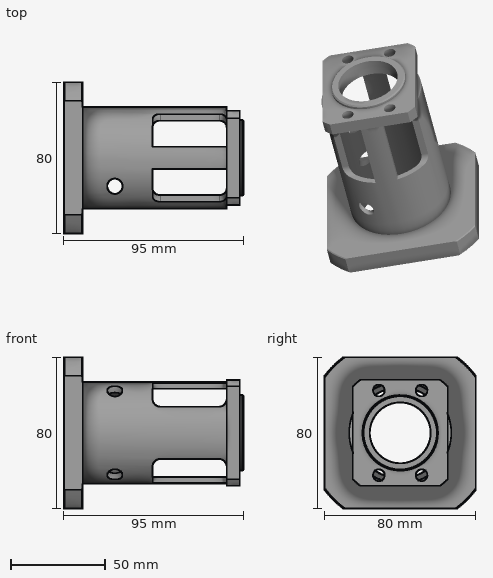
import cadquery as cq

total_length = 95.0
flange_thickness = 10.0
tube_end = 86.0
plate_end = 93.0

flange_side = 80.0
flange_corner_diameter = 100.0
flange_edge_chamfer = 0.5
plate_width = 50.0
plate_height = 56.05
plate_corner_diameter = 70.0

tube_diameter = 54.0
tube_bore_diameter = 48.0
spigot_diameter = 40.0
spigot_chamfer = 0.7
end_bore_diameter = 32.0

window_start = 46.9
window_floor = 13.9
window_corner_radius = 4.0
strip_width = 12.0

cross_hole_diameter = 8.0
cross_hole_x = 27.0
cross_hole_y = -15.0
plate_hole_diameter = 6.2
plate_hole_y = 11.3
plate_hole_z = 22.4


def disc(diameter, start, end):
    """Cylinder about the main axis between two X stations."""
    return cq.Workplane("YZ").workplane(offset=start).circle(diameter / 2).extrude(end - start)


def rectangle_block(width, height, start, end):
    """Rectangular block centred on the main axis between two X stations."""
    return cq.Workplane("YZ").workplane(offset=start).rect(width, height).extrude(end - start)


def window_cutter(y_side, z_side):
    """Window block beside the strip, with rounded corners along its floor."""
    length = tube_end - window_start
    depth = tube_diameter / 2
    cutter = (
        cq.Workplane("XY")
        .box(length, depth, depth, centered=False)
        .edges("|Y and <Z")
        .fillet(window_corner_radius)
        .translate((window_start, strip_width / 2, window_floor))
    )
    if y_side < 0:
        cutter = cutter.mirror("XZ")
    if z_side < 0:
        cutter = cutter.mirror("XY")
    return cutter


tube = disc(tube_diameter, 0, tube_end).cut(disc(tube_bore_diameter, 0, tube_end))
for y_side in (-1, 1):
    for z_side in (-1, 1):
        tube = tube.cut(window_cutter(y_side, z_side))

flange_round = disc(flange_corner_diameter, 0, flange_thickness).edges().chamfer(flange_edge_chamfer)
flange = rectangle_block(flange_side, flange_side, 0, flange_thickness).intersect(flange_round)
flange = flange.cut(disc(tube_bore_diameter, 0, flange_thickness))

plate_round = disc(plate_corner_diameter, tube_end, plate_end)
plate = rectangle_block(plate_width, plate_height, tube_end, plate_end).intersect(plate_round)
spigot = disc(spigot_diameter, plate_end, total_length).faces(">X").chamfer(spigot_chamfer)
plate = plate.union(spigot).cut(disc(end_bore_diameter, tube_end, total_length))
plate_holes = (
    cq.Workplane("YZ")
    .workplane(offset=tube_end)
    .rect(2 * plate_hole_y, 2 * plate_hole_z, forConstruction=True)
    .vertices()
    .circle(plate_hole_diameter / 2)
    .extrude(plate_end - tube_end)
)
plate = plate.cut(plate_holes)

cross_hole = (
    cq.Workplane("XY")
    .center(cross_hole_x, cross_hole_y)
    .circle(cross_hole_diameter / 2)
    .extrude(tube_diameter / 2, both=True)
)

result = tube.union(flange).union(plate).cut(cross_hole)